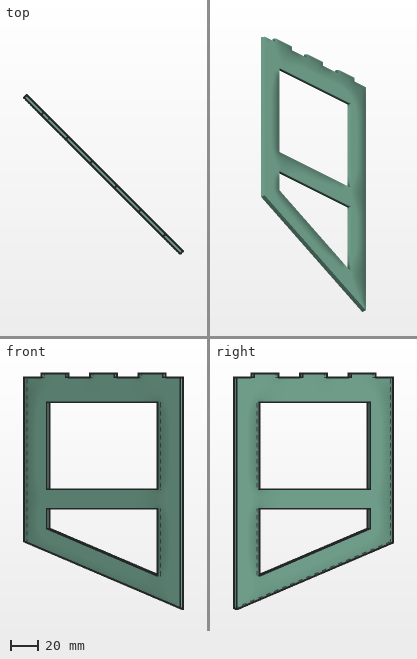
import cadquery as cq
import math

thickness = 3.0
length = 162.5
total_height = 173.7
tab_height = 3.0
bottom_rise = 50.0
plate_top = total_height - tab_height
bottom_slope = bottom_rise / (length + thickness)

tab_count = 3
tab_width = 25.5
tab_pitch = 50.5

side_margin = 23.8
top_margin = 18.4
upper_window_height = 63.7
crossbar_height = 14.6
bottom_margin = 16.7

window_left = side_margin
window_right = length - side_margin
upper_window_top = plate_top - top_margin
upper_window_bottom = upper_window_top - upper_window_height
lower_window_top = upper_window_bottom - crossbar_height

min_x = -thickness / math.sqrt(2)
max_x = length / math.sqrt(2)

plate_plane = cq.Plane(origin=(0, 0, 0), xDir=(1, -1, 0), normal=(-1, -1, 0))


def bottom_edge(u):
    """Height of the sloping bottom edge at distance u along the plate."""
    return bottom_rise - bottom_slope * u


def prism(points):
    """Extrude an outline through the plate thickness."""
    return cq.Workplane(plate_plane).polyline(points).close().extrude(thickness)


def quad(left, right, top, bottom_left, bottom_right):
    """Prism with upright sides, a level top and a bottom that may slope."""
    return prism([(left, bottom_left), (right, bottom_right), (right, top), (left, top)])


plate = quad(0, length, plate_top, 0, 0)

for index in range(tab_count):
    tab_center = length / 2 + (index - (tab_count - 1) / 2) * tab_pitch
    tab_left = tab_center - tab_width / 2
    tab = quad(tab_left, tab_left + tab_width, total_height, plate_top, plate_top)
    plate = plate.union(tab)

upper_window = quad(
    window_left, window_right, upper_window_top, upper_window_bottom, upper_window_bottom
)

lower_window = quad(
    window_left,
    window_right,
    lower_window_top,
    bottom_edge(window_left) + bottom_margin,
    bottom_edge(window_right) + bottom_margin,
)

bottom_trim = (
    cq.Workplane("XZ")
    .polyline([(min_x, 0), (max_x, 0), (min_x, bottom_rise)])
    .close()
    .extrude(length, both=True)
)

result = plate.cut(upper_window).cut(lower_window).cut(bottom_trim)